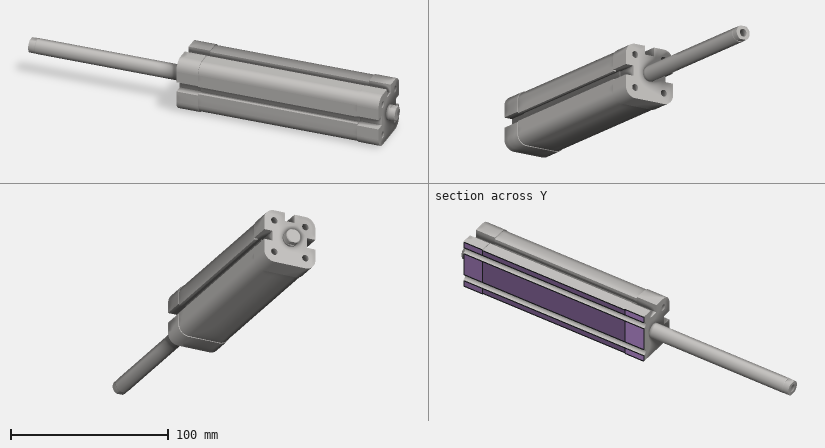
import cadquery as cq
import math

total_length = 249.0
front_cap_start = 105.8
cap_length = 14.7
rear_cap_end = 243.3
barrel_start = front_cap_start + cap_length
barrel_end = rear_cap_end - cap_length

cap_width = 36.0
barrel_width = 35.0
corner_center = 11.0
screw_hole_diameter = 4.5

slot_angles = (0, 90, 180)
cap_slot_width = 6.7
cap_slot_floor = 12.2
barrel_slot_width = 6.7
barrel_slot_floor = 13.0
slot_mouth_width = 5.2
slot_lip = 2.0

rod_diameter = 10.2
end_diameter = 10.0
flats_across = 9.0
front_end_length = 4.2
rear_end_length = 4.0
shoulder_length = 0.5
tip_chamfer = 0.5
tapped_hole_diameter = 5.0
tapped_hole_depth = 10.0
drill_point_angle = 118.0


def bar_along_x(start, end, width):
    """Square bar from X = start to X = end, rounded about the corner axes."""
    length = end - start
    return (
        cq.Workplane("YZ", origin=(start, 0, 0))
        .rect(width, width)
        .extrude(length)
        .edges("|X")
        .fillet(width / 2 - corner_center)
    )


def lengthwise_holes(start, end):
    """Cutters for the central rod bore and the four screw holes."""
    length = end - start
    plane = cq.Workplane("YZ", origin=(start, 0, 0))
    bore = plane.circle(rod_diameter / 2).extrude(length)
    screw_holes = (
        plane.rect(2 * corner_center, 2 * corner_center, forConstruction=True)
        .vertices()
        .circle(screw_hole_diameter / 2)
        .extrude(length)
    )
    return bore.add(screw_holes).combine()


def groove(start, end, inner, outer, width):
    """Box cutter on the +Y side, reaching from Y = inner to Y = outer."""
    return cq.Workplane("XY").box(end - start, outer - inner, width).translate(
        ((start + end) / 2, (inner + outer) / 2, 0)
    )


def cut_on_slot_sides(body, cutter):
    for angle in slot_angles:
        body = body.cut(cutter.rotate((0, 0, 0), (1, 0, 0), angle))
    return body


def make_cap(start):
    end = start + cap_length
    cap = bar_along_x(start, end, cap_width).cut(lengthwise_holes(start, end))
    return cut_on_slot_sides(cap, groove(start, end, cap_slot_floor, cap_width, cap_slot_width))


def make_barrel():
    barrel = bar_along_x(barrel_start, barrel_end, barrel_width)
    barrel = barrel.cut(lengthwise_holes(barrel_start, barrel_end))
    lip_bottom = barrel_width / 2 - slot_lip
    chamber = groove(barrel_start, barrel_end, barrel_slot_floor, lip_bottom, barrel_slot_width)
    mouth = groove(barrel_start, barrel_end, barrel_slot_floor, barrel_width, slot_mouth_width)
    return cut_on_slot_sides(barrel, chamber.union(mouth))


def turned_rod():
    """Round rod with its two turned-down ends and the chamfer on the rear tip."""
    rod_radius = rod_diameter / 2
    end_radius = end_diameter / 2
    rear_end_start = total_length - rear_end_length
    return (
        cq.Workplane("XY")
        .polyline([
            (0, 0),
            (0, end_radius),
            (front_end_length, end_radius),
            (front_end_length + shoulder_length, rod_radius),
            (rear_end_start - shoulder_length, rod_radius),
            (rear_end_start, end_radius),
            (total_length - tip_chamfer, end_radius),
            (total_length, end_radius - tip_chamfer),
            (total_length, 0),
        ])
        .close()
        .revolve(360, (0, 0, 0), (1, 0, 0))
    )


def flats_cutter(start, length):
    """Cutter for two parallel wrench flats, on the +Z and -Z sides."""
    blank = cq.Workplane("XY").box(length, rod_diameter, rod_diameter)
    offset = (flats_across + rod_diameter) / 2
    middle = start + length / 2
    upper = blank.translate((middle, 0, offset))
    lower = blank.translate((middle, 0, -offset))
    return upper.add(lower).combine()


def tapped_hole():
    """Blind hole in the front tip with a conical drill point."""
    radius = tapped_hole_diameter / 2
    point_length = radius / math.tan(math.radians(drill_point_angle / 2))
    return (
        cq.Workplane("XY")
        .polyline([
            (0, 0),
            (0, radius),
            (tapped_hole_depth, radius),
            (tapped_hole_depth + point_length, 0),
        ])
        .close()
        .revolve(360, (0, 0, 0), (1, 0, 0))
    )


def make_rod():
    front_flats = flats_cutter(0, front_end_length)
    rear_flats = flats_cutter(total_length - rear_end_length, rear_end_length)
    return turned_rod().cut(front_flats).cut(rear_flats).cut(tapped_hole())


caps = [make_cap(start) for start in (front_cap_start, barrel_end)]
barrel = make_barrel()
rod = make_rod()

result = cq.Compound.makeCompound([*[cap.val() for cap in caps], barrel.val(), rod.val()])